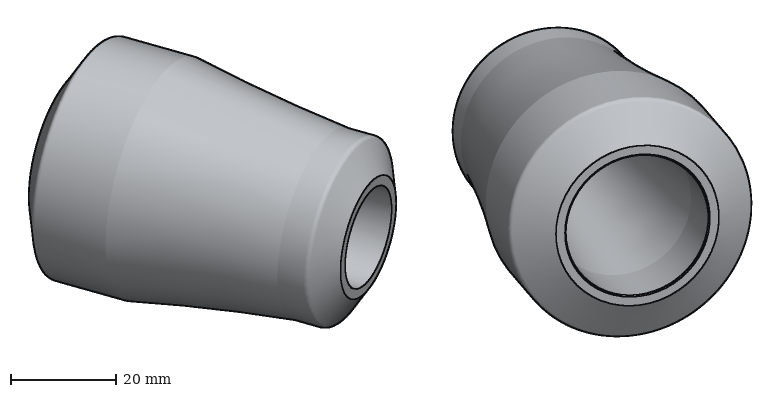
import cadquery as cq
import math

length = 64.0
large_radius = 48.3 / 2
small_radius = 38.0 / 2
large_bore_radius = 28.3 / 2
small_bore_radius = 20.4 / 2

land_width = 2.05
bevel_slope = math.tan(math.radians(30))
bevel_edge_round = 1.0

large_collar_end = 20.1
small_collar_start = 53.95
taper_sag = 0.4

bore_taper_start = 11.8
bore_mouth_chamfer = 0.25
bore_taper_end = small_collar_start

large_land_radius = large_bore_radius + land_width
small_land_radius = small_bore_radius + land_width
large_bevel = (large_radius - large_land_radius) * bevel_slope
small_bevel = (small_radius - small_land_radius) * bevel_slope

taper_middle = (
    (large_collar_end + small_collar_start) / 2,
    (large_radius + small_radius) / 2 - taper_sag,
)


def revolve_about_x(profile):
    return profile.close().revolve(360, (0, 0, 0), (1, 0, 0))


def make_outer_body():
    profile = (
        cq.Workplane("XY")
        .moveTo(0, 0)
        .lineTo(0, large_land_radius)
        .lineTo(large_bevel, large_radius)
        .lineTo(large_collar_end, large_radius)
        .threePointArc(taper_middle, (small_collar_start, small_radius))
        .lineTo(length - small_bevel, small_radius)
        .lineTo(length, small_land_radius)
        .lineTo(length, 0)
    )
    return revolve_about_x(profile)


def round_bevel_edge(body, x, radius):
    """Round the circular edge where a bevel meets its collar."""
    gap = 0.05
    box = cq.selectors.BoxSelector(
        (x - gap, -radius - gap, -radius - gap),
        (x + gap, radius + gap, radius + gap),
        boundingbox=True,
    )
    return body.edges(box).fillet(bevel_edge_round)


def make_bore():
    profile = (
        cq.Workplane("XY")
        .moveTo(0, 0)
        .lineTo(0, large_bore_radius + bore_mouth_chamfer)
        .lineTo(bore_mouth_chamfer, large_bore_radius)
        .lineTo(bore_taper_start, large_bore_radius)
        .lineTo(bore_taper_end, small_bore_radius)
        .lineTo(length, small_bore_radius)
        .lineTo(length, 0)
    )
    return revolve_about_x(profile)


body = make_outer_body()
body = round_bevel_edge(body, large_bevel, large_radius)
body = round_bevel_edge(body, length - small_bevel, small_radius)
result = body.cut(make_bore())